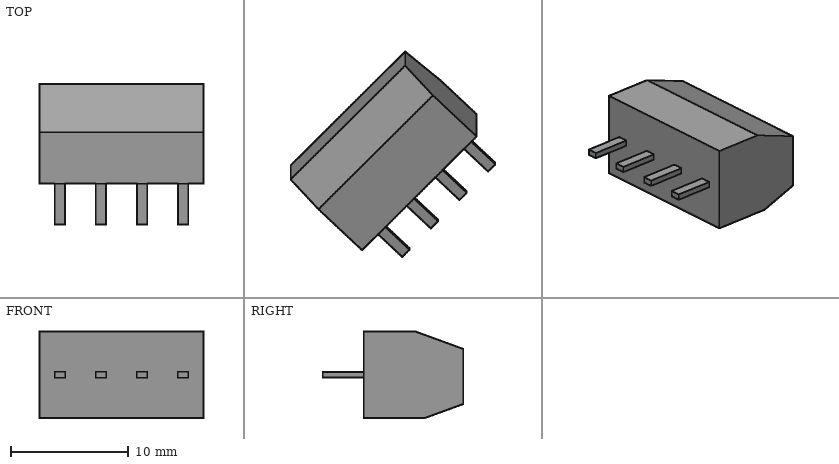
import cadquery as cq
import math

WIDTH = 14.0
HEIGHT = 7.4
HOUSING_DEPTH = 8.5
BEVEL_ANGLE = 20.0
TOP_BEVEL_DROP = 1.5
BOTTOM_BEVEL_RISE = 1.2

PIN_COUNT = 4
PIN_PITCH = WIDTH / PIN_COUNT
PIN_WIDTH = 0.9
PIN_THICKNESS = 0.5
PIN_LENGTH = 3.5


def bevel_run(bevel_height):
    """Length along Y of a bevel with the given height."""
    return bevel_height / math.tan(math.radians(BEVEL_ANGLE))


def make_housing():
    """Block with its front face at Y = 0 and bevels towards the back face."""
    top = HEIGHT / 2
    bottom = -HEIGHT / 2
    profile = [
        (0, bottom),
        (HOUSING_DEPTH - bevel_run(BOTTOM_BEVEL_RISE), bottom),
        (HOUSING_DEPTH, bottom + BOTTOM_BEVEL_RISE),
        (HOUSING_DEPTH, top - TOP_BEVEL_DROP),
        (HOUSING_DEPTH - bevel_run(TOP_BEVEL_DROP), top),
        (0, top),
    ]
    return cq.Workplane("YZ").polyline(profile).close().extrude(WIDTH / 2, both=True)


def make_pin(x):
    """Flat pin centred at x, standing out in -Y from the housing's front face."""
    return cq.Workplane("XZ").center(x, 0).rect(PIN_WIDTH, PIN_THICKNESS).extrude(PIN_LENGTH)


housing = make_housing()

pins = []
for index in range(PIN_COUNT):
    pin_x = (index - (PIN_COUNT - 1) / 2) * PIN_PITCH
    pins.append(make_pin(pin_x))

result = cq.Compound.makeCompound([housing.val(), *[pin.val() for pin in pins]])